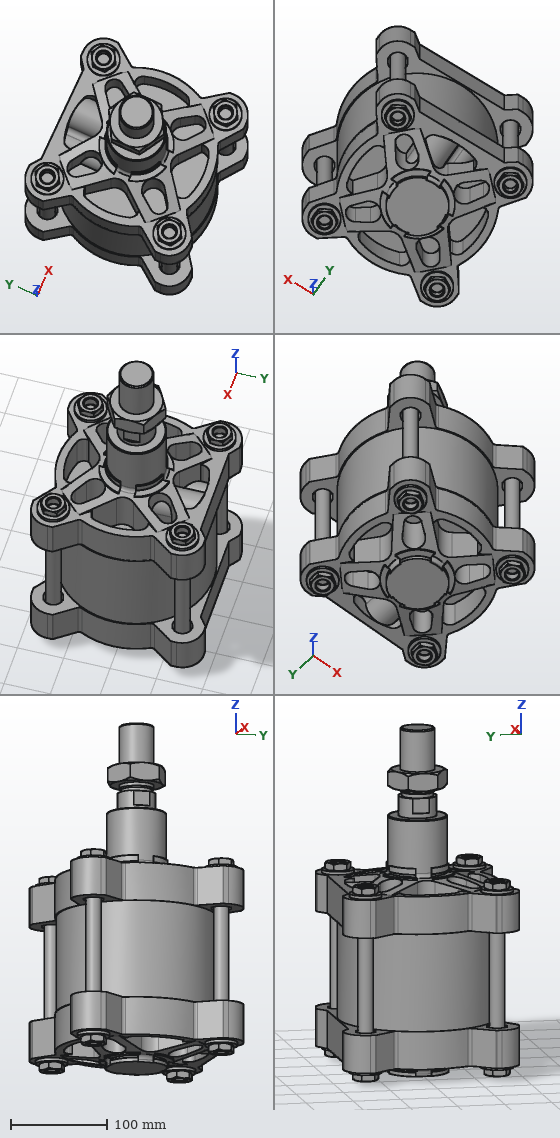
import cadquery as cq
import math


total_height = 363.0
rear_ring_tip = 17.5
head_thickness = 40.0
barrel_length = 102.7
rear_face_z = rear_ring_tip
front_face_z = rear_face_z + 2 * head_thickness + barrel_length

barrel_radius = 167.0 / 2
head_radius = 84.5
bolt_offset = 69.7
ear_radius = 23.2
ear_reach = bolt_offset + ear_radius
ear_flat_end = 64.0
ear_root = (72.5, 36.3)
ear_corner_fillet = 1.0
ear_root_fillet = 4.5
port_pad_half_width = 54.5

pocket_depth = 35.5
pocket_radius = 75.5
pocket_half_width = 30.5
pocket_corner_fillet = 9.5
opening_apex = 36.3
opening_apex_fillet = 15.0
opening_slope = math.tan(math.radians(38.3))
opening_reach = 72.5
arm_tip = 79.5
arm_cone_base_radius = 80.5
arm_cone_slope = 0.21
slot_inner = 51.0
slot_outer = 66.5
slot_inner_radius = 12.0
slot_outer_radius = 9.5

port_radius = 18.0
port_x = 12.5
port_depth = 19.0
cushion_radius = 13.0
cushion_x = -20.0
boss_valley_radius = 5.0
boss_start_y = 21.8
boss_end_y = 78.0

hub_radius = 62.0 / 2
hub_flare_radius = 36.3
hub_flare_fillet = hub_flare_radius - hub_radius
hub_flare_base = (arm_cone_base_radius - hub_flare_radius) * arm_cone_slope
hub_flare_top = hub_flare_base + hub_flare_fillet
step_radius = 39.0
step_height = 10.5
ring_radius = 32.5
ring_groove_height = 2.5
front_ring_tip = 19.5
ring_gap = 16.7
neck_top_z = 270.5
neck_chamfer = 1.0

tie_rod_diameter = 16.0
ear_hole_diameter = 21.0
washer_diameter = 33.8
washer_height = 3.3
tie_nut_flats = 24.0
tie_nut_height = 7.5
tie_nut_hole_diameter = 13.8
tie_nut_hole_chamfer = (tie_rod_diameter - tie_nut_hole_diameter) / 2

rod_diameter = 40.0
thread_diameter = 36.0
undercut_diameter = 33.0
rod_shoulder_z = 291.0
thread_start_z = 295.0
thread_chamfer = 1.5
wrench_flats = thread_diameter
wrench_flat_start_z = 275.5
rod_nut_z = 300.2
rod_nut_height = 19.0
rod_nut_flats = 54.8


def cylinder(radius, z_start, z_end):
    return cq.Workplane("XY").workplane(offset=z_start).circle(radius).extrude(z_end - z_start)


def hex_prism(flats, height):
    """Hexagon nut blank with corners along Y and 30 degree corner chamfers at both ends."""
    corner_diameter = flats / math.cos(math.radians(30))
    corner_overhang = (corner_diameter - flats) / 2
    blank = cq.Workplane("XY").polygon(6, corner_diameter).extrude(height)
    blank = blank.rotate((0, 0, 0), (0, 0, 1), 90)
    envelope = cylinder(corner_diameter / 2, 0, height).faces("<Z or >Z").chamfer(
        corner_overhang * math.tan(math.radians(30)), corner_overhang
    )
    return blank.intersect(envelope)


def four_around(body):
    """The body at 0, 90, 180 and 270 degrees about the axis, joined."""
    joined = body
    for quarter in range(1, 4):
        joined = joined.union(body.rotate((0, 0, 0), (0, 0, 1), 90 * quarter))
    return joined



def make_ear():
    root_x, root_y = ear_root
    arc_middle = bolt_offset + ear_radius * math.sqrt(0.5)
    ear = (
        cq.Workplane("XY").workplane(offset=-head_thickness)
        .moveTo(ear_reach, bolt_offset)
        .threePointArc((arc_middle, arc_middle), (bolt_offset, ear_reach))
        .lineTo(ear_flat_end, ear_reach)
        .lineTo(root_y, root_x)
        .lineTo(0, 0)
        .lineTo(root_x, root_y)
        .lineTo(ear_reach, ear_flat_end)
        .close()
        .extrude(head_thickness)
    )
    for corner in ((ear_reach, ear_flat_end), (ear_flat_end, ear_reach)):
        edge = cq.selectors.NearestToPointSelector((*corner, -head_thickness / 2))
        ear = ear.edges("|Z").edges(edge).fillet(ear_corner_fillet)
    return ear


def make_head_block():
    port_pad = (
        cq.Workplane("XY").workplane(offset=-head_thickness)
        .rect(2 * port_pad_half_width, head_radius).extrude(head_thickness)
        .translate((0, head_radius / 2, 0))
    )
    block = cylinder(head_radius, -head_thickness, 0).union(four_around(make_ear())).union(port_pad)
    root_x, root_y = ear_root
    side_roots = [(x, y) for x in (-root_x, root_x) for y in (-root_y, root_y)]
    lower_roots = [(-root_y, -root_x), (root_y, -root_x)]
    for root in side_roots + lower_roots:
        edge = cq.selectors.NearestToPointSelector((*root, -head_thickness / 2))
        block = block.edges("|Z").edges(edge).fillet(ear_root_fillet)
    return block


def make_opening():
    """V-shaped opening with a rounded apex between the two arms beside +Y."""
    shoulder_y = opening_apex + opening_reach * opening_slope
    return (
        cq.Workplane("XY").workplane(offset=-pocket_depth)
        .moveTo(0, opening_apex)
        .lineTo(opening_reach, shoulder_y)
        .lineTo(-opening_reach, shoulder_y)
        .close()
        .extrude(pocket_depth + hub_flare_top)
        .edges("|Z and <Y").fillet(opening_apex_fillet)
    )


def make_pocket():
    strip = (
        cq.Workplane("XY").workplane(offset=-pocket_depth)
        .rect(2 * pocket_half_width, 2 * head_radius).extrude(pocket_depth)
    )
    pocket = make_opening().intersect(strip).intersect(cylinder(pocket_radius, -pocket_depth, 0))
    corner_y = math.sqrt(pocket_radius**2 - pocket_half_width**2)
    for corner_x in (-pocket_half_width, pocket_half_width):
        edge = cq.selectors.NearestToPointSelector((corner_x, corner_y, -pocket_depth / 2))
        pocket = pocket.edges("|Z").edges(edge).fillet(pocket_corner_fillet)
    return pocket


def make_arms():
    """Conical cover above the head face, cut down to four diagonal arms."""
    cone_height = (arm_cone_base_radius - hub_radius) * arm_cone_slope
    cone = (
        cq.Workplane("XZ")
        .polyline([(0, 0), (arm_cone_base_radius, 0), (hub_radius, cone_height), (0, cone_height)])
        .close().revolve(360, (0, 0, 0), (0, 1, 0))
    )
    tips = cq.Workplane("XY").rect(2 * arm_tip, 2 * arm_tip).extrude(cone_height)
    return cone.intersect(tips.rotate((0, 0, 0), (0, 0, 1), 45)).cut(four_around(make_opening()))


def make_arm_slot():
    """Tapered slot with tangent round ends, along the +X +Y arm."""
    taper = math.asin((slot_inner_radius - slot_outer_radius) / (slot_outer - slot_inner))
    inner_x = slot_inner + slot_inner_radius * math.sin(taper)
    inner_y = slot_inner_radius * math.cos(taper)
    outer_x = slot_outer + slot_outer_radius * math.sin(taper)
    outer_y = slot_outer_radius * math.cos(taper)
    return (
        cq.Workplane("XY").workplane(offset=-pocket_depth)
        .moveTo(inner_x, -inner_y)
        .lineTo(outer_x, -outer_y)
        .threePointArc((slot_outer + slot_outer_radius, 0), (outer_x, outer_y))
        .lineTo(inner_x, inner_y)
        .threePointArc((slot_inner - slot_inner_radius, 0), (inner_x, -inner_y))
        .close()
        .extrude(pocket_depth + hub_flare_top)
        .rotate((0, 0, 0), (0, 0, 1), 45)
    )


def make_port_bosses():
    """Port boss and lower cushion-screw boss, joined by a round valley, running along Y."""
    valley_x = port_x - port_radius - boss_valley_radius
    valley_z = -port_depth
    centre_distance = cushion_radius + boss_valley_radius
    lean = math.asin((valley_x - cushion_x) / centre_distance)
    cushion_z = valley_z - centre_distance * math.cos(lean)
    tangent_x = cushion_x + cushion_radius * math.sin(lean)
    tangent_z = cushion_z + cushion_radius * math.cos(lean)
    valley_turn = (math.pi / 2 + lean) / 2 - lean
    valley_middle = (
        valley_x + boss_valley_radius * math.sin(valley_turn),
        valley_z - boss_valley_radius * math.cos(valley_turn),
    )
    profile = (
        cq.Workplane("XZ", origin=(0, boss_start_y, 0))
        .moveTo(cushion_x - cushion_radius, -head_thickness)
        .lineTo(cushion_x - cushion_radius, cushion_z)
        .threePointArc((cushion_x, cushion_z + cushion_radius), (tangent_x, tangent_z))
        .threePointArc(valley_middle, (port_x - port_radius, valley_z))
        .threePointArc((port_x, valley_z + port_radius), (port_x + port_radius, valley_z))
        .lineTo(port_x + port_radius, -head_thickness)
        .close()
    )
    return profile.extrude(boss_start_y - boss_end_y)


def make_hub(core_tip, ring_tip):
    """Round core with a stepped ring around it; a concave flare fills its four gaps."""
    fillet_rise = hub_flare_fillet * math.sqrt(0.5)
    flare = (
        cq.Workplane("XZ")
        .lineTo(hub_flare_radius, 0)
        .lineTo(hub_flare_radius, hub_flare_base)
        .threePointArc((hub_flare_radius - fillet_rise, hub_flare_top - fillet_rise),
                       (hub_radius, hub_flare_top))
        .lineTo(0, hub_flare_top)
        .close().revolve(360, (0, 0, 0), (0, 1, 0))
    )
    gap = cq.Workplane("XY").rect(2 * step_radius, ring_gap).extrude(ring_tip)
    gaps = gap.union(gap.rotate((0, 0, 0), (0, 0, 1), 90))
    ring = cylinder(step_radius, 0, step_height)
    ring = ring.union(cylinder(ring_radius, step_height + ring_groove_height, ring_tip))
    core = cylinder(hub_radius, 0, core_tip)
    return core.union(flare.intersect(gaps)).union(ring.cut(gaps))


def make_tie_end():
    """Washer and open-ended nut on the tie rod at +X +Y."""
    nut = hex_prism(tie_nut_flats, tie_nut_height)
    washer = cylinder(washer_diameter / 2, 0, washer_height)
    tie_end = washer.union(nut.translate((0, 0, washer_height)))
    tie_end = tie_end.cut(cylinder(tie_nut_hole_diameter / 2, 0, washer_height + tie_nut_height))
    hole_rim = tie_end.faces(">Z").edges(cq.selectors.RadiusNthSelector(0))
    return hole_rim.chamfer(tie_nut_hole_chamfer)


def make_head(core_tip, ring_tip):
    head = make_head_block().union(make_arms())
    head = head.cut(four_around(make_pocket())).cut(four_around(make_arm_slot()))
    head = head.union(make_port_bosses()).union(make_hub(core_tip, ring_tip))
    ear_hole = cylinder(ear_hole_diameter / 2, -head_thickness, 0)
    for x in (-bolt_offset, bolt_offset):
        for y in (-bolt_offset, bolt_offset):
            head = head.cut(ear_hole.translate((x, y, 0)))
            head = head.union(make_tie_end().translate((x, y, 0)))
    return head


def make_housing():
    front_head = make_head(neck_top_z - front_face_z, front_ring_tip)
    front_head = front_head.faces(">Z").chamfer(neck_chamfer).translate((0, 0, front_face_z))
    rear_head = make_head(rear_ring_tip, rear_ring_tip).mirror("XY").translate((0, 0, rear_face_z))
    barrel = cylinder(barrel_radius, rear_face_z + head_thickness, front_face_z - head_thickness)
    housing = barrel.union(front_head).union(rear_head)
    tie_rod = cylinder(tie_rod_diameter / 2, rear_face_z, front_face_z)
    for x in (-bolt_offset, bolt_offset):
        for y in (-bolt_offset, bolt_offset):
            housing = housing.union(tie_rod.translate((x, y, 0)))
    return housing.cut(cylinder(rod_diameter / 2, front_face_z - head_thickness, neck_top_z))


def make_piston_rod():
    rod = cylinder(rod_diameter / 2, front_face_z - head_thickness, rod_shoulder_z)
    for side in (-1, 1):
        flat = cq.Workplane("XY").box(rod_diameter, rod_diameter, rod_shoulder_z - wrench_flat_start_z,
                                      centered=(True, True, False))
        flat_x = side * (wrench_flats + rod_diameter) / 2
        rod = rod.cut(flat.translate((flat_x, 0, wrench_flat_start_z)))
    thread = cylinder(thread_diameter / 2, thread_start_z, total_height)
    thread = thread.faces("<Z or >Z").chamfer(thread_chamfer)
    undercut = cylinder(undercut_diameter / 2, rod_shoulder_z, thread_start_z)
    return rod.union(undercut).union(thread)


def make_rod_nut():
    nut = hex_prism(rod_nut_flats, rod_nut_height)
    nut = nut.cut(cylinder(thread_diameter / 2, 0, rod_nut_height))
    return nut.translate((0, 0, rod_nut_z))


housing = make_housing()
piston_rod = make_piston_rod()
rod_nut = make_rod_nut()

result = cq.Compound.makeCompound([housing.val(), piston_rod.val(), rod_nut.val()])